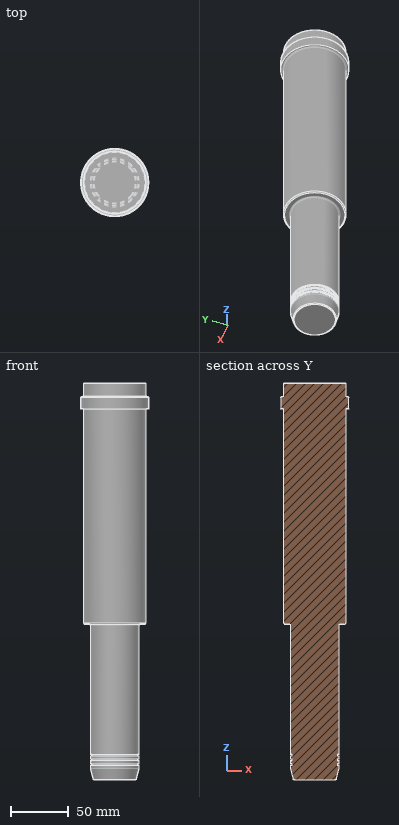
import cadquery as cq

total_height = 343.0
head_height = 11.5
collar_height = 10.5
shoulder_z = 134.5

collar_diameter = 59.0
body_diameter = 54.2
shaft_diameter = 42.2
tip_diameter = 37.0

body_chamfer = 1.0
top_chamfer = 0.5
collar_chamfer = 0.7
tip_chamfer = 0.7
corner_radius = 0.7
taper_height = 10.0
groove_count = 3
groove_pitch = 4.0
groove_width = 1.5
groove_depth = 1.0
first_groove_z = 13.5

collar_top = total_height - head_height
collar_bottom = collar_top - collar_height


def cylinder(diameter, bottom, top):
    """Solid cylinder on the Z axis between two heights."""
    return cq.Workplane("XY").workplane(offset=bottom).circle(diameter / 2).extrude(top - bottom)


def ring_groove(diameter, depth, bottom, width):
    """Ring to cut from a cylinder of the given diameter."""
    return (
        cq.Workplane("XY")
        .workplane(offset=bottom)
        .circle(diameter / 2 + depth)
        .circle(diameter / 2 - depth)
        .extrude(width)
    )


body = cylinder(body_diameter, shoulder_z, total_height).faces("<Z").chamfer(body_chamfer)
body = body.faces(">Z").chamfer(top_chamfer)
collar = cylinder(collar_diameter, collar_bottom, collar_top).faces(">Z").chamfer(collar_chamfer)

shaft = cylinder(shaft_diameter, taper_height, shoulder_z)
pilot = (
    cq.Workplane("XY")
    .circle(tip_diameter / 2)
    .workplane(offset=taper_height)
    .circle(shaft_diameter / 2)
    .loft(ruled=True)
    .faces("<Z")
    .chamfer(tip_chamfer)
)

for index in range(groove_count):
    groove_bottom = first_groove_z + index * groove_pitch - groove_width / 2
    shaft = shaft.cut(ring_groove(shaft_diameter, groove_depth, groove_bottom, groove_width))

post = body.union(collar).union(shaft).union(pilot)


def corner_circle(diameter, height):
    """Selector for the circular edge of the given diameter at a height."""
    reach = diameter / 2 + corner_radius / 2
    return cq.selectors.BoxSelector(
        (-reach, -reach, height - corner_radius / 4),
        (reach, reach, height + corner_radius / 4),
        boundingbox=True,
    )


for diameter, height in (
    (body_diameter, collar_top),
    (body_diameter, collar_bottom),
    (shaft_diameter, shoulder_z),
):
    post = post.edges(corner_circle(diameter, height)).fillet(corner_radius)

result = post